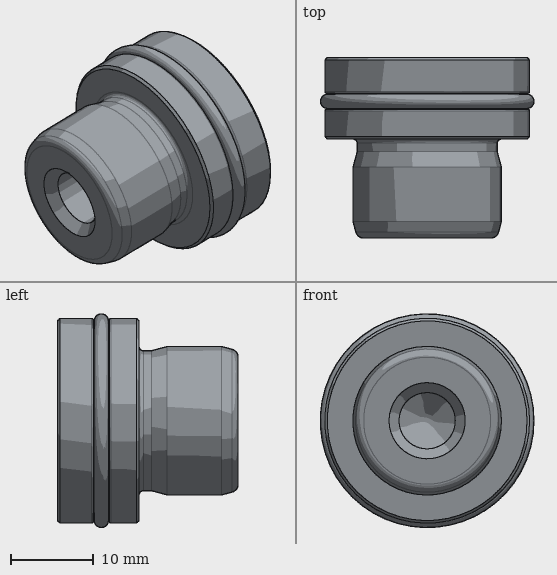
import cadquery as cq
import math

TOTAL_LENGTH = 21.9
HEAD_FRONT = 12.0
HEAD_RADIUS = 24.8 / 2
HEAD_CHAMFER = 0.3

NOSE_RADIUS = 18.0 / 2
NOSE_TAPER_LENGTH = 2.0
NOSE_ROUND = 1.0
NECK_RADIUS = 17.0 / 2
NECK_LENGTH = 1.5
NECK_ROUND = 0.5
TAPER_SLOPE = math.tan(math.radians(15))

RING_OUTER_RADIUS = 25.9 / 2
GROOVE_RADIUS = 22.4 / 2
GROOVE_WIDTH = 1.95
GROOVE_CENTER = 16.58
GROOVE_LIP_ROUND = 0.2
RING_SECTION_RADIUS = (RING_OUTER_RADIUS - GROOVE_RADIUS) / 2

BORE_RADIUS = 6.8 / 2
BORE_DEPTH = 12.0
BORE_TIP_ANGLE = 118
MOUTH_RADIUS = 9.22 / 2
MOUTH_DEPTH = MOUTH_RADIUS - BORE_RADIUS


def revolve_about_y(profile):
    """Turn a closed profile, drawn as (radius, Y), into a solid."""
    return profile.revolve(360, (0, 0, 0), (0, 1, 0))


def edges_at(body, radius, y):
    """Select the circular edge of the given radius at height y along the axis."""
    tolerance = 0.003
    return body.edges(
        cq.selectors.BoxSelector(
            (-radius - tolerance, y - tolerance, -radius - tolerance),
            (radius + tolerance, y + tolerance, radius + tolerance),
            boundingbox=True,
        )
    )


def make_nose():
    """Tapered nose and the narrower neck behind it."""
    tip_radius = NOSE_RADIUS - NOSE_TAPER_LENGTH * TAPER_SLOPE
    neck_front = HEAD_FRONT - NECK_LENGTH
    neck_taper_front = neck_front - (NOSE_RADIUS - NECK_RADIUS) / TAPER_SLOPE
    profile = (
        cq.Workplane("XY")
        .lineTo(tip_radius, 0)
        .lineTo(NOSE_RADIUS, NOSE_TAPER_LENGTH)
        .lineTo(NOSE_RADIUS, neck_taper_front)
        .lineTo(NECK_RADIUS, neck_front)
        .lineTo(NECK_RADIUS, HEAD_FRONT)
        .lineTo(0, HEAD_FRONT)
        .close()
    )
    return edges_at(revolve_about_y(profile), tip_radius, 0).fillet(NOSE_ROUND)


def make_head():
    """Disc with chamfered rims and a round-lipped seal groove."""
    groove_front = GROOVE_CENTER - GROOVE_WIDTH / 2
    groove_back = GROOVE_CENTER + GROOVE_WIDTH / 2
    profile = (
        cq.Workplane("XY")
        .moveTo(0, HEAD_FRONT)
        .lineTo(HEAD_RADIUS, HEAD_FRONT)
        .lineTo(HEAD_RADIUS, groove_front)
        .lineTo(GROOVE_RADIUS, groove_front)
        .lineTo(GROOVE_RADIUS, groove_back)
        .lineTo(HEAD_RADIUS, groove_back)
        .lineTo(HEAD_RADIUS, TOTAL_LENGTH)
        .lineTo(0, TOTAL_LENGTH)
        .close()
    )
    head = revolve_about_y(profile).faces("<Y or >Y").edges().chamfer(HEAD_CHAMFER)
    for lip_y in (groove_front, groove_back):
        lip = edges_at(head, HEAD_RADIUS, lip_y).edges(cq.selectors.RadiusNthSelector(-1))
        head = lip.fillet(GROOVE_LIP_ROUND)
    return head


def make_bore():
    """Volume removed by the blind hole."""
    tip_length = BORE_RADIUS / math.tan(math.radians(BORE_TIP_ANGLE / 2))
    profile = (
        cq.Workplane("XY")
        .lineTo(MOUTH_RADIUS, 0)
        .lineTo(BORE_RADIUS, MOUTH_DEPTH)
        .lineTo(BORE_RADIUS, BORE_DEPTH)
        .lineTo(0, BORE_DEPTH + tip_length)
        .close()
    )
    return revolve_about_y(profile)


def make_plug():
    """Nose and head joined with a rounded inner corner, then bored."""
    body = make_nose().union(make_head())
    body = edges_at(body, NECK_RADIUS, HEAD_FRONT).fillet(NECK_ROUND)
    return body.cut(make_bore())


def make_seal_ring():
    """Round-section ring resting on the groove floor."""
    center_radius = RING_OUTER_RADIUS - RING_SECTION_RADIUS
    section = cq.Workplane("XY").center(center_radius, GROOVE_CENTER).circle(RING_SECTION_RADIUS)
    return section.revolve(360, (-center_radius, 0, 0), (-center_radius, 1, 0))


plug = make_plug()
seal_ring = make_seal_ring()

result = cq.Compound.makeCompound([plug.val(), seal_ring.val()])